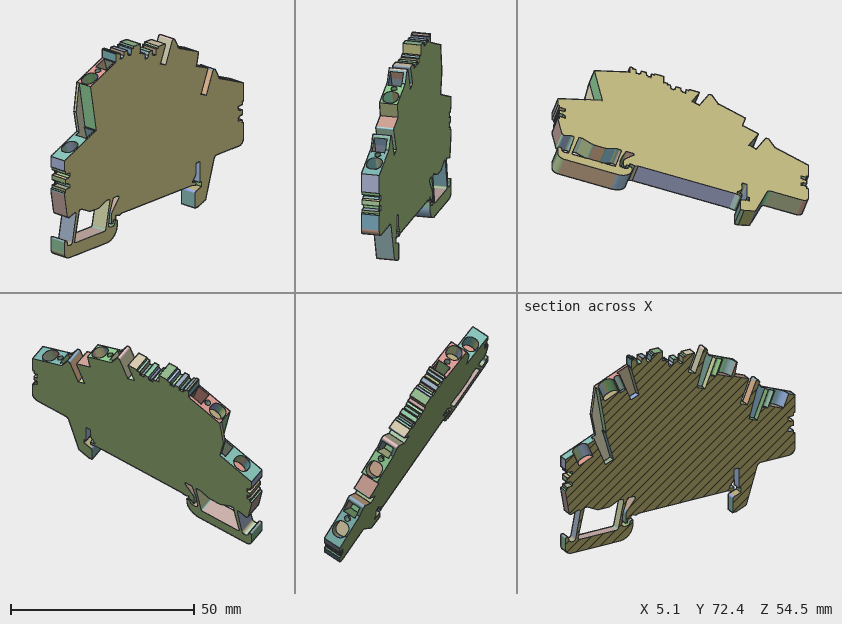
import math

import cadquery as cq

thickness = 5.1
length = 72.35
height = 54.5
end_y = length / 2

slope_angle = math.radians(22.5)
slope_rise = math.tan(slope_angle)
slope_cos = math.cos(slope_angle)
slope_sin = math.sin(slope_angle)

tier_step_y = -16.4
tier_step_z = 13.56
plus_corner_z = 31.1
ridge_foot_y = 26.5
ridge_foot_z = plus_corner_z + (end_y - ridge_foot_y) * slope_rise
ridge_apex_y = 24.18
ridge_round = 0.62
ridge_slot_y = 21.07
ridge_slot_z = 31.8
ridge_slot_width = 2.3
low_lip_round = 0.35
upper_lip_round = 0.3
landing_z = 39.53
step_foot_y = 17.15
step_foot_z = 41.4
upper_corner_y = 18.0

low_top_z = 51.63
top_step_y = -5.57
crown_end_y = -15.4
crown_chamfer = 0.2

minus_corner_z = 28.95
cheek_thickness = 0.9
cheek_corner_y = -25.68
cheek_bulge_y = -26.9
cheek_bulge_z = 39.5
cheek_foot_z = minus_corner_z + (cheek_corner_y + end_y) * slope_rise
minus_slope_top_z = 51.95
cheek_corner_z = minus_slope_top_z + (cheek_corner_y - crown_end_y) * slope_rise
back_wall_foot_y = -23.35
minus_taper_z = 18.93
minus_taper_foot_y = -35.05
minus_taper_foot_z = 12.3

carrier_length = 6.4
carrier_recess = 0.5
carrier_step_flank = 0.2
carrier_land = 0.95
groove_width = 1.55
groove_depth = 1.55
groove_flank = 0.12
groove_rim = 0.5
groove_extra_depth = 0.6
groove_deep_floor = 0.8
end_carrier_top_z = 25.85
low_carrier_y = 1.8
crown_carrier_y = -8.2

belly_z = 13.13
rail_seat_z = 7.0
end_round = 1.95

spring_top_z = 12.5
small_round = 0.25
corner_round = 0.5
foot_tip_y = -14.75
foot_tip_z = 5.5
foot_tip_width = 1.05
foot_heel_z = 5.3
foot_heel_width = 0.92
foot_heel_tip_round = 0.4
foot_toe_round = 4.3
foot_heel_round = 1.9
catch_inner_y = -16.0
catch_outer_y = -18.5
catch_floor_z = 4.2
catch_round = 0.9
latch_outer_y = -17.2
latch_inner_y = -15.4
latch_tip_z = 5.0
latch_round = 2.0
heel_gap_floor_z = 3.6
heel_gap_round = 0.8
window_floor_z = 3.7
window_belly_z = 11.15
window_belly_round = 1.0

hook_inner_y = 16.5
rail_gap_inner_y = 16.95
rail_gap_outer_y = 18.45
rail_lip_outer_y = 19.1
rail_lip_low_z = 5.65
rail_gap_round = 0.3

hole_x = thickness / 2
entry_width = 4.2
entry_length = 4.6
entry_round = 1.85
entry_depth = 4.3
test_diameter = 1.6
test_depth = 5.0
driver_x_start = cheek_thickness
driver_x_end = 4.62
driver_span_y = 3.27
driver_depth = 9.0
driver_lead_depth = 0.75
driver_wall_angle = math.radians(16)
driver_clearance = 3.0
entry_to_test = 3.3
entry_to_driver = 4.35
plus_entry_y = 31.95
upper_minus_entry_y = -23.27
lower_minus_entry_y = -31.3


def unit(start, end):
    """Unit vector from one point to another, with the distance between them."""
    dy = end[0] - start[0]
    dz = end[1] - start[1]
    distance = math.hypot(dy, dz)
    return dy / distance, dz / distance, distance


def rounded_prism(vertices, x_start, x_end):
    """Extrude a closed (y, z[, corner radius]) outline from x_start to x_end."""
    path = None
    for index, vertex in enumerate(vertices):
        corner = vertex[:2]
        radius = vertex[2] if len(vertex) == 3 else 0
        if radius == 0:
            arc = [corner]
        else:
            before = unit(corner, vertices[index - 1])
            after = unit(corner, vertices[(index + 1) % len(vertices)])
            half_angle = math.acos(before[0] * after[0] + before[1] * after[1]) / 2
            setback = radius / math.tan(half_angle)
            middle = unit((0, 0), (before[0] + after[0], before[1] + after[1]))
            reach = radius / math.sin(half_angle) - radius
            arc = [
                (corner[0] + setback * before[0], corner[1] + setback * before[1]),
                (corner[0] + reach * middle[0], corner[1] + reach * middle[1]),
                (corner[0] + setback * after[0], corner[1] + setback * after[1]),
            ]
        if path is None:
            path = cq.Workplane("YZ", origin=(x_start, 0, 0)).moveTo(*arc[0])
        else:
            path = path.lineTo(*arc[0])
        if len(arc) == 3:
            path = path.threePointArc(arc[1], arc[2])
    return path.close().extrude(x_end - x_start)


def carrier_points(start, along, inward):
    """Edge points (y, z) of one marker carrier, from its start in the along direction."""
    tooth = carrier_length - 2 * (carrier_land + groove_width)
    profile = [(0, 0), (carrier_step_flank, carrier_recess)]
    for groove_start in (carrier_land, carrier_land + groove_width + tooth):
        groove_end = groove_start + groove_width
        profile += [
            (groove_start, carrier_recess),
            (groove_start + groove_flank, groove_depth),
            (groove_end - groove_flank, groove_depth),
            (groove_end, carrier_recess),
        ]
    profile += [(carrier_length - carrier_step_flank, carrier_recess), (carrier_length, 0)]
    return [
        (start[0] + s * along[0] + d * inward[0], start[1] + s * along[1] + d * inward[1])
        for s, d in profile
    ]


plus_end_carrier = ((end_y, end_carrier_top_z - carrier_length), (0, 1), (-1, 0))
low_top_carrier = ((low_carrier_y, low_top_z), (-1, 0), (0, -1))
crown_carrier = ((crown_carrier_y, height), (-1, 0), (0, -1))
minus_end_carrier = ((-end_y, end_carrier_top_z), (0, -1), (1, 0))
carriers = [plus_end_carrier, low_top_carrier, crown_carrier, minus_end_carrier]


def ridge_points(shift_y, shift_z, wall_top_z, lip_round):
    """Ridge and the slot behind it, moved by the given shift; the slot's inner wall ends at wall_top_z."""
    slot_floor_y = ridge_slot_y - ridge_slot_width * slope_cos
    slot_floor_z = ridge_slot_z + ridge_slot_width * slope_sin
    lip_z = wall_top_z - shift_z
    points = [
        (ridge_foot_y, ridge_foot_z),
        (ridge_apex_y, ridge_slot_z + (ridge_apex_y - ridge_slot_y) / slope_rise, ridge_round),
        (ridge_slot_y, ridge_slot_z),
        (slot_floor_y, slot_floor_z),
        (slot_floor_y + (lip_z - slot_floor_z) * slope_rise, lip_z, lip_round),
    ]
    return [(p[0] + shift_y, p[1] + shift_z, *p[2:]) for p in points]


def plus_side_points():
    """Stepped +Y side, going up from the lower corner."""
    upper_foot_y = ridge_foot_y + tier_step_y
    upper_foot_z = ridge_foot_z + tier_step_z
    upper_corner_z = upper_foot_z - (upper_corner_y - upper_foot_y) * slope_rise
    return [
        (end_y, plus_corner_z),
        *ridge_points(0, 0, landing_z, low_lip_round),
        (step_foot_y, step_foot_z),
        (upper_corner_y, upper_corner_z),
        *ridge_points(tier_step_y, tier_step_z, low_top_z, upper_lip_round),
    ]


def minus_side_points():
    """-Y side, going down from the crown to the lower corner."""
    return [
        (crown_end_y + crown_chamfer, height),
        (crown_end_y, height - crown_chamfer),
        (crown_end_y, minus_slope_top_z),
        (cheek_corner_y, cheek_corner_z),
        (cheek_bulge_y, cheek_bulge_z),
        (cheek_corner_y, cheek_foot_z),
        (-end_y, minus_corner_z),
    ]


def spring_foot_points():
    """Sprung rail foot below the -Y end, from the outer arm round to the rail seat."""
    outer_arm = [
        (minus_taper_foot_y, minus_taper_foot_z, corner_round),
        (-34.5, 11.7, corner_round),
        (-32.4, spring_top_z, corner_round),
        (-31.35, 12.7, corner_round),
        (-33.1, heel_gap_floor_z, heel_gap_round),
        (-34.75, heel_gap_floor_z, heel_gap_round),
    ]
    foot = [
        (-end_y + foot_heel_width, foot_heel_z, foot_heel_tip_round),
        (-end_y, foot_heel_z, foot_heel_tip_round),
        (-end_y, 0, foot_heel_round),
        (foot_tip_y - small_round, 0, foot_toe_round),
        (foot_tip_y, foot_tip_z, small_round),
        (foot_tip_y - foot_tip_width, foot_tip_z, small_round),
        (catch_inner_y, catch_floor_z, catch_round),
        (catch_outer_y, catch_floor_z, catch_round),
    ]
    inner_arm_gap = [
        (-17.9, 8.5),
        (-16.5, spring_top_z, corner_round),
        (-14.0, spring_top_z, corner_round),
        (-14.3, 11.7, small_round),
    ]
    latch = [
        (latch_outer_y, 8.2, latch_round),
        (latch_outer_y, latch_tip_z),
        (-16.65, latch_tip_z),
        (-16.4, 5.95),
        (latch_inner_y, 6.05),
        (latch_inner_y, rail_seat_z),
        (-14.0, 6.65),
        (-13.0, rail_seat_z),
    ]
    return outer_arm + foot + inner_arm_gap + latch


def fixed_foot_points():
    """Rigid rail hook below the +Y end, from the rail seat to the end face."""
    seat_lip = [
        (15.1, rail_seat_z),
        (hook_inner_y, 6.6, rail_gap_round),
        (rail_gap_inner_y, 6.7),
        (rail_gap_inner_y, 7.7),
        (15.7, 7.75),
        (15.6, 8.1),
        (rail_gap_inner_y, 9.9, heel_gap_round),
    ]
    rail_gap = [
        (rail_gap_inner_y, belly_z, rail_gap_round),
        (rail_gap_outer_y, belly_z, rail_gap_round),
        (rail_gap_outer_y, rail_seat_z),
        (rail_lip_outer_y, rail_seat_z),
        (rail_lip_outer_y, rail_lip_low_z),
    ]
    hook = [
        (hook_inner_y, 4.7, 0.7),
        (hook_inner_y, 0),
        (17.6, 0),
        (20.85, 1.3, corner_round),
        (24.5, belly_z, 1.2),
        (end_y, belly_z, end_round),
    ]
    return seat_lip + rail_gap + hook


def window_points():
    """Window between the two spring arms of the sprung foot, with the belly sagging into its top."""
    return [
        (-17.75, spring_top_z, corner_round),
        (-19.3, spring_top_z, window_belly_round),
        (-22.3, window_belly_z, window_belly_round),
        (-25.9, window_belly_z, window_belly_round),
        (-29.2, 12.8, corner_round),
        (-30.1, 12.8, small_round),
        (-32.2, window_floor_z, corner_round),
        (-19.6, window_floor_z, corner_round),
    ]


def housing():
    outline = [
        *plus_side_points(),
        *carrier_points(*low_top_carrier),
        (top_step_y, low_top_z),
        (top_step_y, height),
        *carrier_points(*crown_carrier),
        *minus_side_points(),
        *carrier_points(*minus_end_carrier),
        (-end_y, minus_taper_z),
        *spring_foot_points(),
        *fixed_foot_points(),
        *carrier_points(*plus_end_carrier),
    ]
    return rounded_prism(outline, 0, thickness).cut(rounded_prism(window_points(), 0, thickness))


def groove_pockets(carrier):
    """Deeper part of a carrier's grooves behind the thin rim on the -X face."""
    _, along, inward = carrier
    points = carrier_points(*carrier)

    def moved(point, distance_along, depth):
        return (
            point[0] + distance_along * along[0] + depth * inward[0],
            point[1] + distance_along * along[1] + depth * inward[1],
        )

    outer_to_tooth = [(points[2:6], 1), (points[6:10][::-1], -1)]
    pockets = cq.Workplane()
    for (outer_mouth, outer_floor, tooth_floor, tooth_mouth), direction in outer_to_tooth:
        outline = [
            outer_mouth,
            moved(outer_floor, 0, groove_extra_depth),
            moved(outer_floor, direction * groove_deep_floor, groove_extra_depth),
            tooth_floor,
            tooth_mouth,
        ]
        pockets = pockets.add(rounded_prism(outline, groove_rim, thickness))
    return pockets.combine()


def back_recess():
    """Space behind the cheek plate, closed by a wall leaning in towards the lower slope."""
    outside_y = cheek_bulge_y - cheek_thickness
    wall_foot_z = cheek_foot_z + (back_wall_foot_y - cheek_corner_y) * slope_rise
    outline = [
        (cheek_corner_y, cheek_corner_z),
        (back_wall_foot_y, wall_foot_z),
        (cheek_corner_y, cheek_foot_z),
        (outside_y, cheek_foot_z),
        (outside_y, cheek_corner_z),
    ]
    return rounded_prism(outline, cheek_thickness, thickness)


def slope_plane(side, y, z):
    """Plane lying on a slope; side is +1 on the +Y side and -1 on the -Y side."""
    normal = (0, side * slope_sin, slope_cos)
    return cq.Plane(origin=(hole_x, y, z), xDir=(1, 0, 0), normal=normal)


def conductor_entry(side, y, z):
    return (
        cq.Workplane(slope_plane(side, y, z))
        .sketch()
        .rect(entry_width, entry_length)
        .vertices()
        .fillet(entry_round)
        .finalize()
        .extrude(-entry_depth)
    )


def test_hole(side, y, z):
    return cq.Workplane(slope_plane(side, y, z)).circle(test_diameter / 2).extrude(-test_depth)


def driver_slot(side, y, z):
    """Slot whose outer rim lies at (y, z) and whose inner wall steepens below a short lead-in."""

    def place(inward, depth):
        along_y = y - side * (inward * slope_cos + depth * slope_sin)
        return along_y, z + inward * slope_sin - depth * slope_cos

    span = driver_span_y / slope_cos
    narrowing = (driver_depth - driver_lead_depth) * math.tan(slope_angle - driver_wall_angle)
    outline = [
        place(0, -driver_clearance),
        place(0, driver_depth),
        place(span - narrowing, driver_depth),
        place(span, driver_lead_depth),
        place(span, -driver_clearance),
    ]
    return rounded_prism(outline, driver_x_start, driver_x_end)


def terminal_cutters(side, entry_y, entry_z, has_test_hole):
    """Conductor entry, optional test hole and driver slot of one terminal."""
    driver_y = entry_y - side * entry_to_driver
    cutters = [
        conductor_entry(side, entry_y, entry_z),
        driver_slot(side, driver_y, entry_z + entry_to_driver * slope_rise),
    ]
    if has_test_hole:
        test_y = entry_y - side * entry_to_test
        cutters.append(test_hole(side, test_y, entry_z + entry_to_test * slope_rise))
    return cutters


plus_entry_z = plus_corner_z + (end_y - plus_entry_y) * slope_rise
upper_minus_entry_z = minus_slope_top_z + (upper_minus_entry_y - crown_end_y) * slope_rise
lower_minus_entry_z = minus_corner_z + (lower_minus_entry_y + end_y) * slope_rise

cutters = [groove_pockets(carrier) for carrier in carriers]
cutters.append(back_recess())
cutters += terminal_cutters(1, plus_entry_y, plus_entry_z, True)
cutters += terminal_cutters(1, plus_entry_y + tier_step_y, plus_entry_z + tier_step_z, True)
cutters += terminal_cutters(-1, upper_minus_entry_y, upper_minus_entry_z, True)
cutters += terminal_cutters(-1, lower_minus_entry_y, lower_minus_entry_z, False)

result = housing()
for cutter in cutters:
    result = result.cut(cutter)